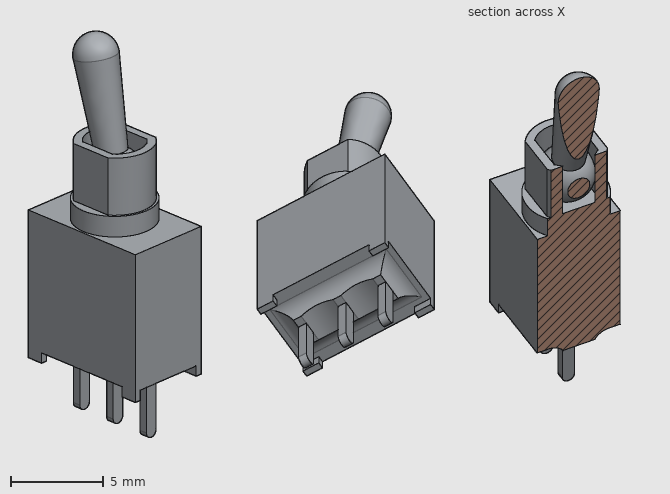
import cadquery as cq
import math


BODY_X = 8.14
BODY_Y = 5.08
BODY_TOP = 8.85
RECESS_X = 6.1
RECESS_Y = 4.3
RECESS_DEPTH = 0.62

FLANGE_DIAMETER = 4.8
FLANGE_HEIGHT = 1.23
BUSHING_DIAMETER = 4.51
BUSHING_FLATS = 3.7
BUSHING_HEIGHT = 3.42
BORE_DIAMETER = 3.5
BORE_FLATS = 2.67

LEVER_TILT = 12
KNOB_RADIUS = 1.28
LEVER_ROOT_RADIUS = 0.85
BALL_RADIUS = 1.62
PIVOT_DEPTH = 2.0

PIN_X = 0.5
PIN_Y = 0.75
PIN_LENGTH = 3.35
PIN_PITCH = 2.53
PIN_POSITIONS = (-PIN_PITCH, 0, PIN_PITCH)

MOUND_TIP_Y = 1.8
MOUND_COVE_RADIUS = 1.0
SCALLOP_DEPTH = 0.15

TOTAL_HEIGHT = 22.8
FLANGE_TOP = BODY_TOP + FLANGE_HEIGHT
BUSHING_TOP = FLANGE_TOP + BUSHING_HEIGHT
PIVOT_Z = BUSHING_TOP - PIVOT_DEPTH
KNOB_CENTER_Z = TOTAL_HEIGHT - PIN_LENGTH - KNOB_RADIUS


def flatted_cylinder(diameter, across_flats, bottom, height):
    """Vertical cylinder with two flats that face -Y and +Y."""
    cylinder = cq.Workplane("XY", origin=(0, 0, bottom)).circle(diameter / 2).extrude(height)
    slab = cq.Workplane("XY", origin=(0, 0, bottom)).rect(diameter, across_flats).extrude(height)
    return cylinder.intersect(slab)


def make_housing():
    block = cq.Workplane("XY").rect(BODY_X, BODY_Y).extrude(BODY_TOP)
    channel_along_y = cq.Workplane("XY").rect(RECESS_X, BODY_Y).extrude(RECESS_DEPTH)
    channel_along_x = cq.Workplane("XY").rect(BODY_X, RECESS_Y).extrude(RECESS_DEPTH)
    return block.cut(channel_along_y).cut(channel_along_x)


def make_bushing():
    flange = cq.Workplane("XY", origin=(0, 0, BODY_TOP)).circle(FLANGE_DIAMETER / 2).extrude(FLANGE_HEIGHT)
    sleeve = flatted_cylinder(BUSHING_DIAMETER, BUSHING_FLATS, FLANGE_TOP, BUSHING_HEIGHT)
    bore = flatted_cylinder(BORE_DIAMETER, BORE_FLATS, FLANGE_TOP, BUSHING_HEIGHT)
    return flange.union(sleeve.cut(bore))


def make_lever():
    """Ball, tapered stem and round knob, revolved upright about the pivot and then tilted."""
    knob_distance = (KNOB_CENTER_Z - PIVOT_Z) / math.cos(math.radians(LEVER_TILT))
    stem_and_knob = (
        cq.Workplane("XZ")
        .lineTo(LEVER_ROOT_RADIUS, 0)
        .lineTo(KNOB_RADIUS, knob_distance)
        .radiusArc((0, knob_distance + KNOB_RADIUS), -KNOB_RADIUS)
        .close()
        .revolve(360, (0, 0, 0), (0, 1, 0))
        .rotate((0, 0, 0), (0, 1, 0), -LEVER_TILT)
    )
    ball = cq.Workplane("XY").sphere(BALL_RADIUS)
    bore_slab = cq.Workplane("XY").box(2 * BALL_RADIUS, BORE_FLATS, 2 * BALL_RADIUS)
    return ball.intersect(bore_slab).union(stem_and_knob).translate((0, 0, PIVOT_Z))


def make_pin(x):
    tip_radius = PIN_Y / 2
    return (
        cq.Workplane("YZ", origin=(x - PIN_X / 2, 0, 0))
        .moveTo(-tip_radius, RECESS_DEPTH)
        .lineTo(-tip_radius, tip_radius - PIN_LENGTH)
        .threePointArc((0, -PIN_LENGTH), (tip_radius, tip_radius - PIN_LENGTH))
        .lineTo(tip_radius, RECESS_DEPTH)
        .close()
        .extrude(PIN_X)
    )


def cove_profile(plane, tip_half, length):
    """Prism, centred on its plane, whose two coved sides run out flush into the recess ceiling."""
    radius = MOUND_COVE_RADIUS
    root_half = tip_half + math.sqrt(radius**2 - (radius - RECESS_DEPTH) ** 2)
    return (
        cq.Workplane(plane)
        .moveTo(-root_half, RECESS_DEPTH)
        .radiusArc((-tip_half, 0), radius)
        .lineTo(tip_half, 0)
        .radiusArc((root_half, RECESS_DEPTH), radius)
        .close()
        .extrude(length / 2, both=True)
    )


def make_mound():
    tip_half_x = PIN_PITCH + PIN_X / 2
    mound = cove_profile("YZ", MOUND_TIP_Y / 2, BODY_X)
    mound = mound.intersect(cove_profile("XZ", tip_half_x, BODY_Y))
    for left_pin, right_pin in zip(PIN_POSITIONS, PIN_POSITIONS[1:]):
        middle = (left_pin + right_pin) / 2
        scallop = (
            cq.Workplane("XZ")
            .moveTo(left_pin + PIN_X / 2, 0)
            .threePointArc((middle, SCALLOP_DEPTH), (right_pin - PIN_X / 2, 0))
            .close()
            .extrude(BODY_Y / 2, both=True)
        )
        mound = mound.cut(scallop)
    return mound


result = make_housing().union(make_bushing()).union(make_lever()).union(make_mound())
for pin_x in PIN_POSITIONS:
    result = result.union(make_pin(pin_x))